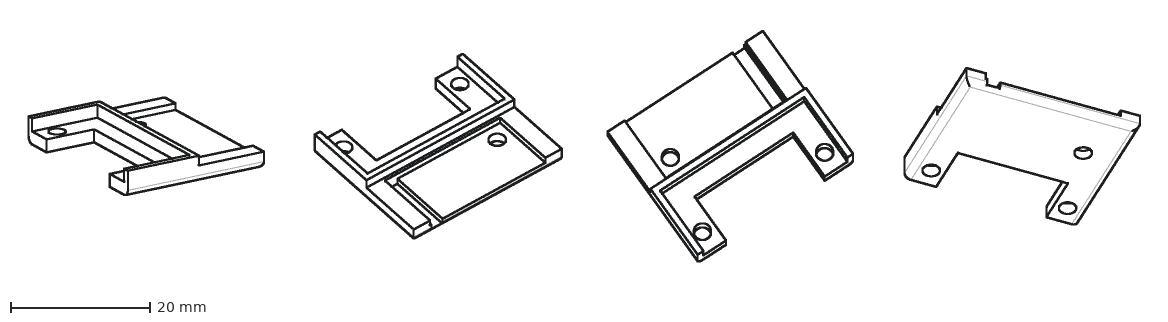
import cadquery as cq

LENGTH = 27.0
DEPTH = 23.0
HEIGHT = 4.0
EDGE_RADIUS = 1.0

REAR_HEIGHT = 2.5
REAR_DEPTH = 11.0

RAIL_WIDTH = 3.0
RECESS_DEPTH = 10.5
RECESS_FLOOR = 1.5
LEDGE_WIDTH = 0.25
GROOVE_WIDTH = 2.02
GROOVE_FLOOR = 0.5

WALL = 1.0
TRAY_FLOOR = 2.0
NOTCH_WIDTH = 17.12
NOTCH_DEPTH = 8.02

HOLE_DIAMETER = 2.5
FRONT_HOLE_SPACING = 21.22
FRONT_HOLE_Y = 3.02
REAR_HOLE_X = -8.02
REAR_HOLE_FROM_BACK = 8.02

HALF_LENGTH = LENGTH / 2
STEP_Y = DEPTH - REAR_DEPTH
RECESS_Y = DEPTH - RECESS_DEPTH
RECESS_X = HALF_LENGTH - RAIL_WIDTH
GROOVE_RIGHT = RECESS_X - LEDGE_WIDTH
TRAY_X = HALF_LENGTH - WALL


def block(x_min, x_max, y_min, y_max, z_min, z_max):
    """Box given by its limits along each axis."""
    size = (x_max - x_min, y_max - y_min, z_max - z_min)
    return cq.Workplane("XY").box(*size, centered=False).translate((x_min, y_min, z_min))


def stepped_body():
    """Block with a low rear half and rounded bottom edges on the sides and back."""
    body = block(-HALF_LENGTH, HALF_LENGTH, 0, DEPTH, 0, HEIGHT)
    body = body.edges("<Z and (<X or >X or >Y)").fillet(EDGE_RADIUS)
    return body.cut(block(-HALF_LENGTH, HALF_LENGTH, STEP_Y, DEPTH, REAR_HEIGHT, HEIGHT))


def rear_recess():
    """Shallow recess, plus the deeper groove near its right side."""
    floor = block(-RECESS_X, RECESS_X, RECESS_Y, DEPTH, RECESS_FLOOR, REAR_HEIGHT)
    groove = block(GROOVE_RIGHT - GROOVE_WIDTH, GROOVE_RIGHT, RECESS_Y, DEPTH, GROOVE_FLOOR, REAR_HEIGHT)
    return floor.union(groove)


def front_tray():
    """Walled tray with the notch that opens its floor to the front."""
    tray = block(-TRAY_X, TRAY_X, 0, STEP_Y - WALL, TRAY_FLOOR, HEIGHT)
    notch = block(-NOTCH_WIDTH / 2, NOTCH_WIDTH / 2, 0, NOTCH_DEPTH, 0, HEIGHT)
    return tray.union(notch)


def screw_holes():
    """Two through holes in the front arms and one in the rear recess."""
    centres = [
        (-FRONT_HOLE_SPACING / 2, FRONT_HOLE_Y),
        (FRONT_HOLE_SPACING / 2, FRONT_HOLE_Y),
        (REAR_HOLE_X, DEPTH - REAR_HOLE_FROM_BACK),
    ]
    return cq.Workplane("XY").pushPoints(centres).circle(HOLE_DIAMETER / 2).extrude(HEIGHT)


result = stepped_body().cut(rear_recess()).cut(front_tray()).cut(screw_holes())